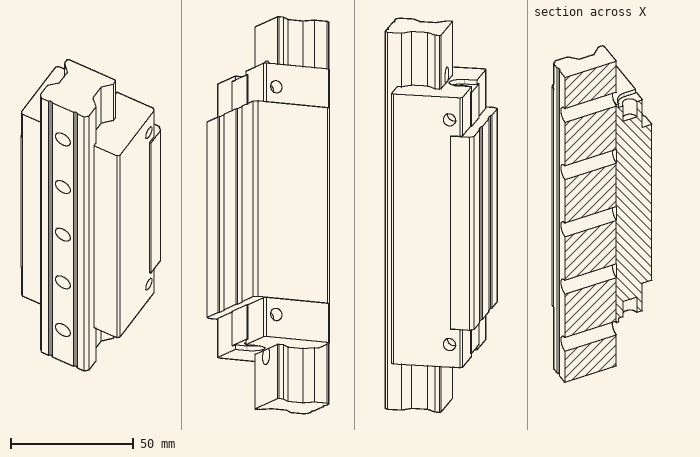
import cadquery as cq


rail_length = 160.0
rail_half_width = 11.5
rail_height = 23.7
neck_half_width = 8.0
rail_foot_height = 7.2
neck_bottom = 10.7
neck_top = neck_bottom + 6.7
rail_head_edge = 21.3
rail_foot_chamfer = 1.5
rail_head_chamfer = 0.5
base_groove_inner = 5.0
base_groove_outer = 6.9
base_groove_depth = 0.5
bolt_hole_diameter = 7.0
bolt_hole_pitch = 30.0
bolt_hole_count = 5

block_length = 82.0
block_half_width = 24.0
block_bottom = 5.5
block_top = 40.0
block_chamfer = 1.6
datum_strip_bottom = 30.4
top_groove_inner = 6.0
top_groove_outer = 11.5
top_groove_depth = 0.5

carriage_length = 114.5
cap_length = (carriage_length - block_length) / 2
cap_half_width = 23.4
cap_top = 35.2
cap_chamfer = 1.0
pad_width = 14.4
pad_thickness = 0.5
port_recess_radius = 5.1
port_recess_depth = 2.0
port_height = 30.0
end_port_diameter = 6.2
side_port_diameter = 5.1
port_depth = 8.0
side_port_z = 47.7


def box_between(x_min, x_max, y_min, y_max, z_min, z_max):
    """Box given by its limits on each axis."""
    size = (x_max - x_min, y_max - y_min, z_max - z_min)
    return cq.Workplane("XY").box(*size, centered=False).translate((x_min, y_min, z_min))


def mirrored_prism(right_half, length):
    """Prism centred on Z = 0 whose section is the right half outline plus its mirror image."""
    left_half = [(-x, y) for x, y in reversed(right_half)]
    section = cq.Workplane("XY").polyline(right_half + left_half).close()
    return section.extrude(length / 2, both=True)


def rail_envelope(length):
    """Rail section without the bolt holes."""
    right_half = [
        (base_groove_inner, 0),
        (base_groove_inner + base_groove_depth, base_groove_depth),
        (base_groove_outer - base_groove_depth, base_groove_depth),
        (base_groove_outer, 0),
        (rail_half_width - rail_foot_chamfer, 0),
        (rail_half_width, rail_foot_chamfer),
        (rail_half_width, rail_foot_height),
        (neck_half_width, neck_bottom),
        (neck_half_width, neck_top),
        (rail_half_width, rail_head_edge),
        (rail_half_width, rail_height - rail_head_chamfer),
        (rail_half_width - rail_head_chamfer, rail_height),
    ]
    return mirrored_prism(right_half, length)


def make_rail():
    """Rail with a row of bolt holes through its height."""
    bolt_holes = (
        cq.Workplane("XZ")
        .rarray(1.6, bolt_hole_pitch, 1, bolt_hole_count)
        .circle(bolt_hole_diameter / 2)
        .extrude(-rail_height)
    )
    return rail_envelope(rail_length).cut(bolt_holes)


def make_block():
    """Middle block of the carriage, with two shallow grooves in its top face."""
    right_half = [
        (block_half_width - block_chamfer, block_bottom),
        (block_half_width, block_bottom + block_chamfer),
        (block_half_width, block_top - block_chamfer),
        (block_half_width - block_chamfer, block_top),
        (top_groove_outer, block_top),
        (top_groove_outer - top_groove_depth, block_top - top_groove_depth),
        (top_groove_inner + top_groove_depth, block_top - top_groove_depth),
        (top_groove_inner, block_top),
    ]
    return mirrored_prism(right_half, block_length).cut(make_side_relief())


def make_side_relief():
    """Material removed from the +X side of the block, leaving it flush with the end caps there."""
    return (
        cq.Workplane("XY")
        .polyline([
            (cap_half_width - cap_chamfer, block_bottom),
            (cap_half_width, block_bottom + cap_chamfer),
            (cap_half_width, datum_strip_bottom),
            (block_half_width, datum_strip_bottom),
            (block_half_width, block_bottom),
        ])
        .close()
        .extrude(block_length / 2, both=True)
    )


def make_upper_cap():
    """End cap on the +Z end of the block, with its lubrication ports."""
    z_inner = block_length / 2
    z_outer = z_inner + cap_length
    z_recess = z_outer - port_recess_depth

    cap = box_between(-cap_half_width, cap_half_width, block_bottom, cap_top, z_inner, z_outer)
    cap = cap.edges("|Z").chamfer(cap_chamfer)
    pad = box_between(-pad_width / 2, pad_width / 2, cap_top, cap_top + pad_thickness, z_inner, z_recess)
    cap = cap.union(pad)

    recess_round = cq.Workplane("XY", origin=(0, port_height, z_recess)).circle(port_recess_radius)
    recess_slot = box_between(
        -port_recess_radius, port_recess_radius, port_height, cap_top, z_recess, z_outer
    )
    end_port = cq.Workplane("XY", origin=(0, port_height, z_recess)).circle(end_port_diameter / 2)
    cap = cap.cut(recess_round.extrude(port_recess_depth)).cut(recess_slot)
    cap = cap.cut(end_port.extrude(-port_depth))

    for side in (-1, 1):
        side_port = cq.Workplane("YZ", origin=(side * cap_half_width, port_height, side_port_z))
        cap = cap.cut(side_port.circle(side_port_diameter / 2).extrude(-side * port_depth))
    return cap


def make_carriage():
    """Block with an end cap at each end, fitted around the rail."""
    upper_cap = make_upper_cap()
    lower_cap = upper_cap.mirror("XY")
    body = make_block().union(upper_cap).union(lower_cap)
    return body.cut(rail_envelope(rail_length))


rail = make_rail()
carriage = make_carriage()

result = cq.Compound.makeCompound([rail.val(), *carriage.vals()])